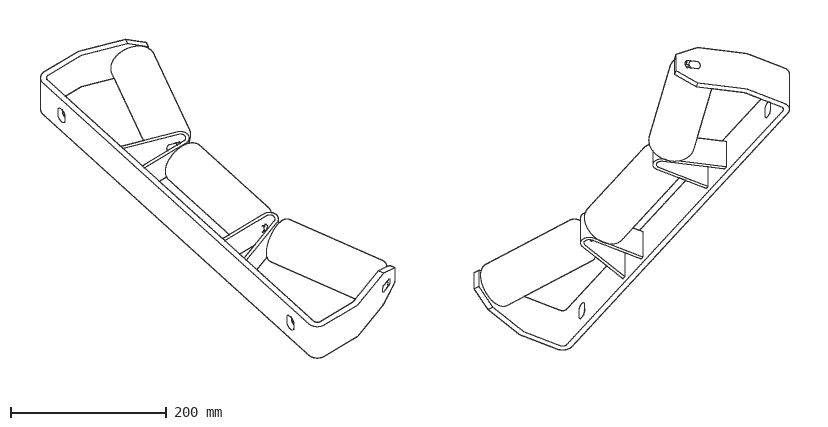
import cadquery as cq
import math

width = 570.0
frame_height = 60.0
tilt = 20.0

frame_thickness = 8.0
corner_radius = 14.0
knee_radius = 11.0
arm_tip_y = 157.5
arm_tip_width = 27.5
arm_taper_length = 28.5

mount_slot_x = 233.0
mount_slot_length = 23.5
mount_slot_width = 14.0

bracket_thickness = 4.5
bracket_height = 43.0
bracket_radius = 11.5
bracket_bend_y = 81.5

roller_diameter = 60.0
roller_length = 150.0
roller_fillet = 5.0
roller_span = 159.0
middle_roller_y = 70.5
side_roller_y = 104.5

shaft_diameter = 15.0
shaft_flat_width = 12.0
shaft_flat_gap = 1.5
shaft_slot_play = 5.0

half_width = width / 2
sin_tilt = math.sin(math.radians(tilt))
cos_tilt = math.cos(math.radians(tilt))
bracket_bend_x = roller_span / 2 + bracket_radius

leaning_leg_face = bracket_bend_x * cos_tilt + bracket_bend_y * sin_tilt + bracket_radius
arm_inner_face = leaning_leg_face + roller_span
arm_outer_face = arm_inner_face + frame_thickness
side_roller_along = (leaning_leg_face + arm_inner_face) / 2
side_roller_x = (side_roller_along - side_roller_y * sin_tilt) / cos_tilt

knee_y = (arm_outer_face - half_width * cos_tilt) / sin_tilt
knee_start_y = knee_y - knee_radius * math.tan(math.radians(tilt / 2))
arm_tip_x = (arm_outer_face - arm_tip_y * sin_tilt) / cos_tilt


def mirrored(shape):
    return shape.mirror("YZ")


def place_middle(shape):
    return shape.translate((0, middle_roller_y, 0))


def place_right(shape):
    return shape.rotate((0, 0, 0), (0, 0, 1), tilt).translate((side_roller_x, side_roller_y, 0))


def make_half_frame():
    half = frame_thickness / 2
    corner_mid_radius = corner_radius - half
    knee_mid_radius = knee_radius - half
    side_x = half_width - half
    knee_end_x = side_x - knee_mid_radius * (1 - cos_tilt)
    knee_end_y = knee_start_y + knee_mid_radius * sin_tilt
    path = (
        cq.Workplane("XY")
        .moveTo(0, half)
        .lineTo(half_width - corner_radius, half)
        .radiusArc((side_x, corner_radius), -corner_mid_radius)
        .lineTo(side_x, knee_start_y)
        .radiusArc((knee_end_x, knee_end_y), -knee_mid_radius)
        .lineTo(arm_tip_x - half * cos_tilt, arm_tip_y - half * sin_tilt)
    )
    section = cq.Workplane("YZ").center(half, 0).rect(frame_thickness, frame_height)
    return section.sweep(path)


def make_tip_cutters():
    """Two wedges, above and below, that taper the tip of the right-hand arm."""
    reach = 2 * arm_taper_length
    taper_slope = (frame_height - arm_tip_width) / 2 / arm_taper_length
    wedge = (
        cq.Workplane("YZ")
        .moveTo(-arm_taper_length, frame_height / 2)
        .lineTo(reach, frame_height / 2 - taper_slope * (reach + arm_taper_length))
        .lineTo(reach, frame_height)
        .lineTo(-arm_taper_length, frame_height)
        .close()
        .extrude(2 * frame_thickness, both=True)
    )
    both = wedge.add(wedge.mirror("XY")).combine()
    return both.rotate((0, 0, 0), (0, 0, 1), tilt).translate((arm_tip_x, arm_tip_y, 0))


def make_bracket():
    half = bracket_thickness / 2
    mid_radius = bracket_radius - half
    foot_y = frame_thickness / 2
    upright_x = bracket_bend_x - mid_radius
    bend_end_x = bracket_bend_x + mid_radius * cos_tilt
    bend_end_y = bracket_bend_y + mid_radius * sin_tilt
    foot_x = bend_end_x + (bend_end_y - foot_y) * sin_tilt / cos_tilt
    path = (
        cq.Workplane("XY")
        .moveTo(upright_x, foot_y)
        .lineTo(upright_x, bracket_bend_y)
        .threePointArc((bracket_bend_x, bracket_bend_y + mid_radius), (bend_end_x, bend_end_y))
        .lineTo(foot_x, foot_y)
    )
    section = (
        cq.Workplane("XZ", origin=(0, foot_y, 0))
        .center(upright_x, 0)
        .rect(bracket_thickness, bracket_height)
    )
    return section.sweep(path)


def make_mount_slots():
    return (
        cq.Workplane("XZ")
        .pushPoints([(-mount_slot_x, 0), (mount_slot_x, 0)])
        .slot2D(mount_slot_length, mount_slot_width, 90)
        .extrude(-frame_thickness)
    )


def make_shaft_slots():
    """Flat-sided slots at both ends of a roller that lies along X at the origin."""
    depth = roller_span / 2 + 2 * frame_thickness
    long_slot = (
        cq.Workplane("YZ")
        .center(shaft_slot_play / 2, 0)
        .slot2D(shaft_diameter + shaft_slot_play, shaft_diameter)
        .extrude(depth, both=True)
    )
    return long_slot.intersect(make_flat_limits(2 * depth))


def make_flat_limits(length):
    """Block whose top and bottom are the planes of the shaft flats."""
    return cq.Workplane("XY").box(length, roller_diameter, shaft_flat_width)


def make_cylinder(diameter, start_x, end_x):
    return (
        cq.Workplane("YZ", origin=(start_x, 0, 0))
        .circle(diameter / 2)
        .extrude(end_x - start_x)
    )


def make_roller(left_end_depth, right_end_depth):
    """Roller whose shaft ends enter the carrying plates by the given depths."""
    half_length = roller_length / 2
    face_x = roller_span / 2
    round_x = face_x - shaft_flat_gap
    drum = make_cylinder(roller_diameter, -half_length, half_length).edges().fillet(roller_fillet)
    round_shaft = make_cylinder(shaft_diameter, -round_x, round_x)
    shaft_ends = make_cylinder(shaft_diameter, -face_x - left_end_depth, face_x + right_end_depth)
    shaft_ends = shaft_ends.intersect(make_flat_limits(width))
    return drum.union(round_shaft).union(shaft_ends)


def make_stand():
    half_frame = make_half_frame().cut(make_tip_cutters())
    bracket = make_bracket()
    side_slots = place_right(make_shaft_slots())
    right_half = half_frame.union(bracket).cut(side_slots)
    stand = right_half.union(mirrored(right_half))
    stand = stand.cut(make_mount_slots()).cut(place_middle(make_shaft_slots()))
    middle_roller = place_middle(make_roller(bracket_thickness, bracket_thickness))
    return stand.union(middle_roller, clean=False)


stand = make_stand()

right_roller = place_right(make_roller(bracket_thickness, frame_thickness))
side_rollers = []
for roller in (right_roller, mirrored(right_roller)):
    side_rollers.append(roller.solids().val())

result = cq.Compound.makeCompound([stand.solids().val(), *side_rollers])